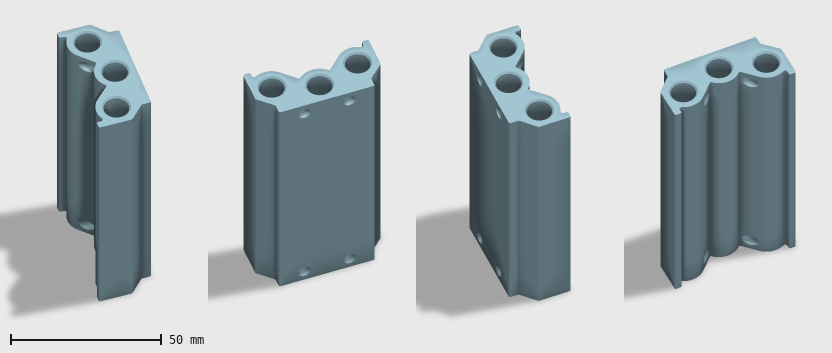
import cadquery as cq
import math

width = 44.5
depth = 20.0
height = 86.5

back_width = 33.9
step_depth = 3.4
shoulder_drop = 5.0

bore_diameter = 8.5
bore_chamfer = 0.6
lobe_radius = 7.0
side_bore_x = 15.2
side_bore_y = -11.6
middle_bore_y = -7.0

leg_width = 2.5
leg_inner_x = width / 2 - leg_width

edge_radius = 0.5
shoulder_radius = 0.8
leg_root_radius = 0.8

mount_diameter = 4.2
mount_spacing_x = 16.0
mount_end_distance = 4.0


def lobe_point(center_x, center_y, angle):
    """Point on a lobe; the angle in degrees is counter-clockwise from +X."""
    turn = math.radians(angle)
    return (center_x + lobe_radius * math.cos(turn), center_y + lobe_radius * math.sin(turn))


FLANK_ANGLE = 225

flank_offset = lobe_radius - (side_bore_x + side_bore_y - middle_bore_y) / math.sqrt(2)
valley_angle = FLANK_ANGLE + math.degrees(math.acos(flank_offset / lobe_radius))
valley = lobe_point(0, middle_bore_y, valley_angle)

leg_root_angle = -math.degrees(math.acos((leg_inner_x - side_bore_x) / lobe_radius))
leg_root = lobe_point(side_bore_x, side_bore_y, leg_root_angle)

step_corner = (back_width / 2, -step_depth)
shoulder_corner = (width / 2, -step_depth - shoulder_drop)
back_corner = (back_width / 2, 0)
leg_outer_corner = (width / 2, -depth)
leg_inner_corner = (leg_inner_x, -depth)


def half_body():
    """Right half of the extrusion, with sharp edges."""
    return (
        cq.Workplane("XY")
        .moveTo(0, 0)
        .lineTo(*back_corner)
        .lineTo(*step_corner)
        .lineTo(*shoulder_corner)
        .lineTo(*leg_outer_corner)
        .lineTo(*leg_inner_corner)
        .lineTo(*leg_root)
        .threePointArc(
            lobe_point(side_bore_x, side_bore_y, -90),
            lobe_point(side_bore_x, side_bore_y, FLANK_ANGLE),
        )
        .lineTo(*valley)
        .threePointArc(
            lobe_point(0, middle_bore_y, (valley_angle + 270) / 2),
            lobe_point(0, middle_bore_y, 270),
        )
        .close()
        .extrude(height)
    )


def round_edges(body, corners, radius):
    """Round the vertical edges at the given corners and at their mirror images."""
    for x, y in corners:
        for side in (-1, 1):
            nearest = cq.NearestToPointSelector((side * x, y, height / 2))
            body = body.edges("|Z").edges(nearest).fillet(radius)
    return body


def bore(x, y):
    """Cutter for a through bore with a 45-degree chamfer at both ends."""
    radius = bore_diameter / 2
    mouth_radius = radius + bore_chamfer
    return (
        cq.Workplane("XZ")
        .polyline([
            (0, 0),
            (mouth_radius, 0),
            (radius, bore_chamfer),
            (radius, height - bore_chamfer),
            (mouth_radius, height),
            (0, height),
        ])
        .close()
        .revolve(360, (0, 0), (0, 1))
        .translate((x, y, 0))
    )


def mount_holes():
    """Cutter for the four holes through the flanks."""
    return (
        cq.Workplane("XZ")
        .center(0, height / 2)
        .rarray(mount_spacing_x, height - 2 * mount_end_distance, 2, 2)
        .circle(mount_diameter / 2)
        .extrude(depth)
    )


right_half = half_body()
result = right_half.union(right_half.mirror("YZ")).clean()
result = round_edges(result, [leg_root], leg_root_radius)
result = round_edges(result, [shoulder_corner], shoulder_radius)
small_corners = [back_corner, step_corner, leg_outer_corner, leg_inner_corner, valley]
result = round_edges(result, small_corners, edge_radius)

for bore_x, bore_y in [(-side_bore_x, side_bore_y), (0, middle_bore_y), (side_bore_x, side_bore_y)]:
    result = result.cut(bore(bore_x, bore_y))

result = result.cut(mount_holes())